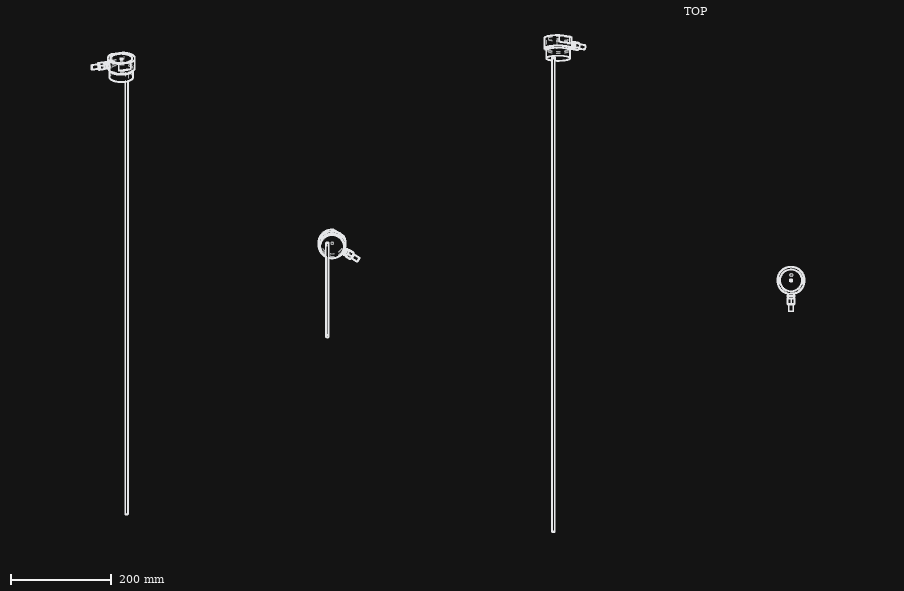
import cadquery as cq

overall_length = 1010.0

cap_dia = 55.0
cap_height = 21.0
base_dia = 47.0
head_height = 41.0
waist_dia = 46.0
waist_height = 4.0

side_flat_offset = 24.0
front_flat_offset = 26.0
side_flat_height = 14.0
front_flat_height = cap_height

recess_dia = 43.0
recess_depth = 1.0
screw_hole_dia = 5.0
screw_hole_depth = 3.0

gland_height = -11.0
gland_reach = 89.0
gland_tip = cap_dia / 2 - gland_reach
neck_dia = 12.0
collar_dia = 14.0
collar_back = -30.0
collar_thickness = 2.0
nut_back = -36.0
nut_length = 10.0
nut_corner_dia = 16.0
nut_cone_length = 2.0
cable_dia = 9.5

rod_dia = 5.8
rod_tip_dia = 5.0
rod_tip_chamfer = (rod_dia - rod_tip_dia) / 2
rod_y = 11.0
rod_socket_depth = 10.0
boss_dia = 6.5
boss_height = 3.0


def disc(diameter, top, bottom, y=0.0):
    """Vertical cylinder between two heights."""
    return cq.Workplane("XY", origin=(0, y, bottom)).circle(diameter / 2).extrude(top - bottom)


def gland_plane(y):
    """Workplane across the gland axis, facing -Y."""
    return cq.Workplane("XZ", origin=(0, y, gland_height))


def gland_disc(diameter, back, front):
    """Cylinder along the gland axis between two Y positions."""
    return gland_plane(back).circle(diameter / 2).extrude(back - front)


def flat_cutter(offset, height):
    """Block that removes the cap beyond a flat on its -Y side."""
    block = cq.Workplane("XY").box(cap_dia, cap_dia, height, centered=(True, False, False))
    return block.translate((0, -offset - cap_dia, -height))


def make_head():
    waist_bottom = -cap_height - waist_height
    head = disc(cap_dia, 0, -cap_height)
    head = head.union(disc(waist_dia, -cap_height, waist_bottom))
    head = head.union(disc(base_dia, waist_bottom, -head_height))
    head = head.union(disc(boss_dia, -head_height, -head_height - boss_height, rod_y))

    head = head.cut(flat_cutter(front_flat_offset, front_flat_height))
    for angle in (-90, 90):
        flat = flat_cutter(side_flat_offset, side_flat_height)
        head = head.cut(flat.rotate((0, 0, 0), (0, 0, 1), angle))

    head = head.cut(disc(recess_dia, 0, -recess_depth))
    return head.cut(disc(screw_hole_dia, 0, -recess_depth - screw_hole_depth))


def make_gland():
    nut_front = nut_back - nut_length
    cone_front = nut_front - nut_cone_length
    nut = gland_plane(nut_back).transformed(rotate=(0, 0, 90))
    nut = nut.polygon(6, nut_corner_dia).extrude(nut_length)
    cone = gland_plane(nut_front).circle(collar_dia / 2)
    cone = cone.workplane(offset=nut_cone_length).circle(cable_dia / 2).loft()

    gland = gland_disc(neck_dia, -front_flat_offset, nut_back)
    gland = gland.union(gland_disc(collar_dia, collar_back, collar_back - collar_thickness))
    gland = gland.union(nut).union(cone)
    return gland.union(gland_disc(cable_dia, cone_front, gland_tip))


def make_housing():
    housing = make_head().union(make_gland())
    socket_top = -head_height + rod_socket_depth
    return housing.cut(disc(rod_dia, socket_top, -head_height - boss_height, rod_y))


def make_rod():
    rod = disc(rod_dia, -head_height + rod_socket_depth, -overall_length, rod_y)
    return rod.faces("<Z").chamfer(rod_tip_chamfer)


housing = make_housing()
rod = make_rod()
result = cq.Compound.makeCompound([housing.val(), rod.val()])